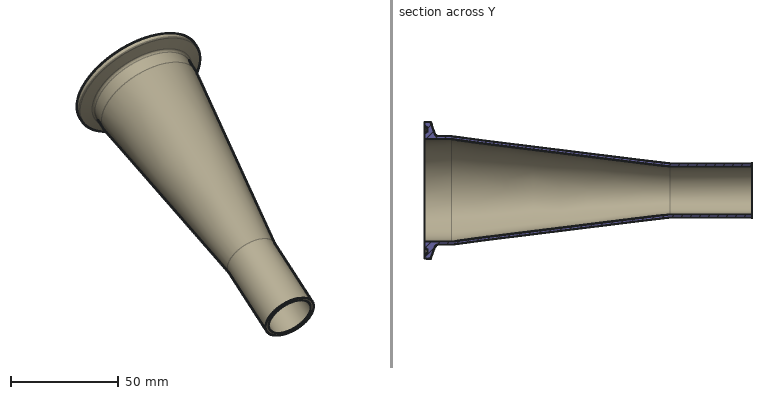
import cadquery as cq
import math

total_length = 152.4
spigot_length = 38.1
ferrule_length = 12.6
cone_end = total_length - spigot_length

large_outer_radius = 50.7 / 2
large_bore_radius = 47.5 / 2
small_outer_radius = 25.5 / 2
small_bore_radius = 22.1 / 2

flange_radius = 63.9 / 2
rim_thickness = 2.9
rim_edge_fillet = 0.6
back_slope = math.radians(20)
root_fillet = 1.4

face_edge_fillet = 0.3

groove_radius = 28.3
groove_depth = 1.4
groove_bottom_radius = 1.4
groove_lip_fillet = 0.6

selection_margin = 0.02


def revolve_about_x(profile):
    """Turn a profile drawn as (axial position, radius) into a round solid."""
    return profile.close().revolve(360, (0, 0, 0), (1, 0, 0))


def round_circles(body, position, radius, fillet):
    """Fillet all circular edges at an axial position, out to the given radius."""
    reach = radius + selection_margin
    edge_box = cq.selectors.BoxSelector(
        (position - selection_margin, -reach, -reach),
        (position + selection_margin, reach, reach),
        boundingbox=True,
    )
    return body.edges(edge_box).fillet(fillet)


def make_outer_body():
    slope_end = rim_thickness + (flange_radius - large_outer_radius) * math.tan(back_slope)
    body = revolve_about_x(
        cq.Workplane("XY")
        .lineTo(0, flange_radius)
        .lineTo(rim_thickness, flange_radius)
        .lineTo(slope_end, large_outer_radius)
        .lineTo(ferrule_length, large_outer_radius)
        .lineTo(cone_end, small_outer_radius)
        .lineTo(total_length, small_outer_radius)
        .lineTo(total_length, 0)
    )
    body = round_circles(body, rim_thickness, flange_radius, rim_edge_fillet)
    return round_circles(body, slope_end, large_outer_radius, root_fillet)


def make_bore():
    return revolve_about_x(
        cq.Workplane("XY")
        .lineTo(0, large_bore_radius)
        .lineTo(ferrule_length, large_bore_radius)
        .lineTo(cone_end, small_bore_radius)
        .lineTo(total_length, small_bore_radius)
        .lineTo(total_length, 0)
    )


def make_gasket_groove():
    bottom_center = groove_depth - groove_bottom_radius
    center_distance = groove_bottom_radius + groove_lip_fillet
    rise = groove_lip_fillet - bottom_center
    half_width = math.sqrt(center_distance**2 - rise**2)
    touch_share = groove_bottom_radius / center_distance
    touch_x = bottom_center + rise * touch_share
    touch_offset = half_width * touch_share
    return revolve_about_x(
        cq.Workplane("XY")
        .moveTo(0, groove_radius - half_width)
        .radiusArc((touch_x, groove_radius - touch_offset), groove_lip_fillet)
        .threePointArc((groove_depth, groove_radius), (touch_x, groove_radius + touch_offset))
        .radiusArc((0, groove_radius + half_width), groove_lip_fillet)
    )


tube = make_outer_body().cut(make_bore())
tube = round_circles(tube, 0, flange_radius, face_edge_fillet)
result = tube.cut(make_gasket_groove())